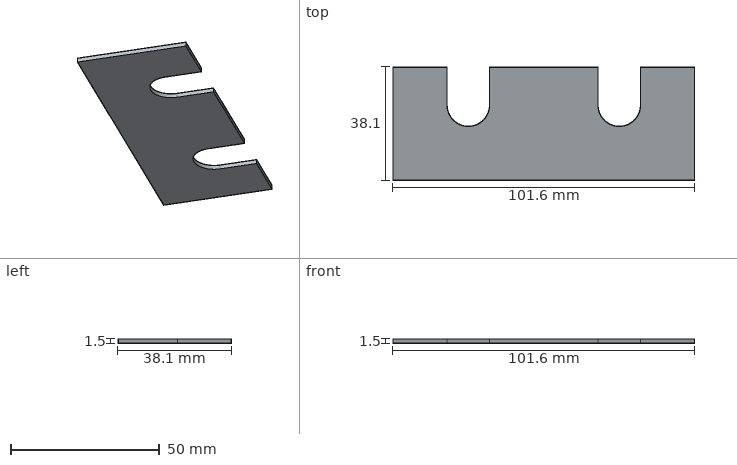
import cadquery as cq

length = 101.6
width = 38.1
thickness = 1.5

slot_width = 14.2
slot_depth = 19.9
slot_spacing = length / 2

slot_radius = slot_width / 2
back_edge = width / 2
arc_center_y = back_edge - slot_depth + slot_radius


def slot_cutter(center_x):
    """Round-bottomed slot, open at the back edge and passing through the plate."""
    return (
        cq.Workplane("XY")
        .moveTo(center_x - slot_radius, back_edge)
        .lineTo(center_x - slot_radius, arc_center_y)
        .threePointArc(
            (center_x, arc_center_y - slot_radius),
            (center_x + slot_radius, arc_center_y),
        )
        .lineTo(center_x + slot_radius, back_edge)
        .close()
        .extrude(thickness)
    )


result = cq.Workplane("XY").box(length, width, thickness, centered=(True, True, False))
for side in (-1, 1):
    result = result.cut(slot_cutter(side * slot_spacing / 2))